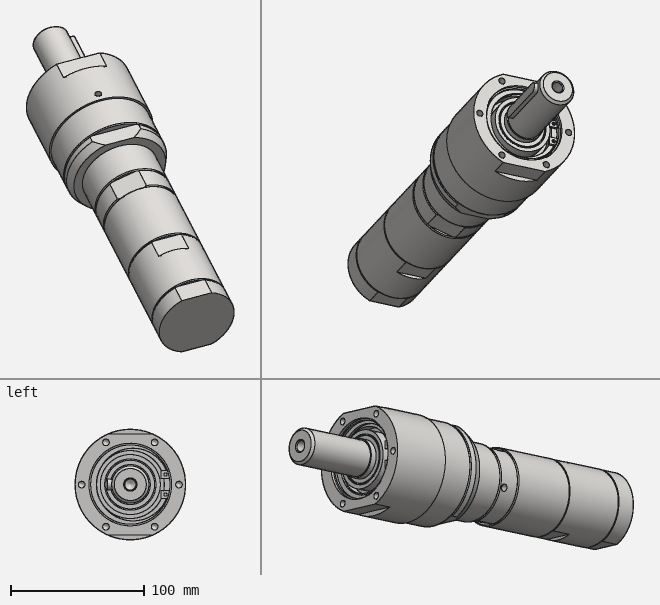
import cadquery as cq
import math

OVERALL_LENGTH = 317.0
COLLAR_START = 59.5
FLANGE_START = 61.5
FLANGE_FLAT_END = 76.5
FLANGE_END = 111.0
LARGE_JOINT_START = 137.8
LARGE_JOINT_END = 139.4
CONE_START = 144.3
NUT_END = 151.2
FRONT_JOINT_START = 178.4
FRONT_JOINT_END = 180.2
REAR_JOINT_START = 196.6
REAR_JOINT_END = 198.4
MIDDLE_SHOULDER = 251.2
MIDDLE_FLAT_END = 267.4
REAR_SHOULDER = 302.0

SHAFT_DIAMETER = 28.0
SHAFT_CHAMFER = 2.0
COLLAR_DIAMETER = 30.0
FLANGE_DIAMETER = 83.0
LARGE_BODY_DIAMETER = 80.0
CONE_END_DIAMETER = 73.5
SMALL_BODY_DIAMETER = 60.0
JOINT_DEPTH = 0.8

FLANGE_ACROSS_FLATS = 75.5
NUT_ACROSS_FLATS = 70.0
BODY_ACROSS_FLATS = 55.0
FLAT_TILT = 15.0

KEY_START = 5.0
KEY_LENGTH = 50.0
KEY_WIDTH = 8.0
KEY_BOTTOM = 10.0
KEY_TOP = 17.0

BOLT_COUNT = 6
BOLT_CIRCLE_DIAMETER = 73.0
BOLT_HOLE_DIAMETER = 5.0
BOLT_HOLE_DEPTH = 12.0
CENTRE_HOLE_DIAMETER = 8.38
CENTRE_SINK_DIAMETER = 10.0
CENTRE_HOLE_DEPTH = 22.0
DRILL_POINT_ANGLE = 118.0
OIL_HOLE_DIAMETER = 4.92
OIL_HOLE_X = 104.8
OIL_HOLE_DEPTH = 5.0
PORT_DIAMETER = 5.5
PORT_X = 184.0
PORT_DEPTH = 8.0

RIM_DIAMETER = 62.0
RIM_DEPTH = 2.5
BORE_DIAMETER = 59.5
BORE_DEPTH = 6.5
GROOVE_DIAMETER = 51.0
GROOVE_DEPTH = 14.0
HUB_DIAMETER = 45.0
HUB_SETBACK = 3.0
SEAL_OUTER_DIAMETER = 38.5
SEAL_INNER_DIAMETER = 36.5
SEAL_DEPTH = 4.0

CLIP_THICKNESS = 2.0
CLIP_INNER_DIAMETER = 54.5
CLIP_OFFSET = 2.0
CLIP_GAP = 9.0
LUG_REACH = 23.0
LUG_WIDTH = 6.0
LUG_HOLE_DIAMETER = 2.5


def turned_body():
    """Revolve the stepped half profile about the X axis."""
    shaft_radius = SHAFT_DIAMETER / 2
    collar_radius = COLLAR_DIAMETER / 2
    flange_radius = FLANGE_DIAMETER / 2
    large_radius = LARGE_BODY_DIAMETER / 2
    small_radius = SMALL_BODY_DIAMETER / 2
    profile = [
        (0, 0),
        (0, shaft_radius - SHAFT_CHAMFER),
        (SHAFT_CHAMFER, shaft_radius),
        (COLLAR_START, shaft_radius),
        (COLLAR_START, collar_radius),
        (FLANGE_START, collar_radius),
        (FLANGE_START, flange_radius),
        (FLANGE_END, flange_radius),
        (FLANGE_END, large_radius),
        *joint_groove(LARGE_JOINT_START, LARGE_JOINT_END, large_radius),
        (CONE_START, large_radius),
        (NUT_END, CONE_END_DIAMETER / 2),
        (NUT_END, small_radius),
        *joint_groove(FRONT_JOINT_START, FRONT_JOINT_END, small_radius),
        *joint_groove(REAR_JOINT_START, REAR_JOINT_END, small_radius),
        *shoulder_chamfer(MIDDLE_SHOULDER, small_radius),
        *shoulder_chamfer(REAR_SHOULDER, small_radius),
        (OVERALL_LENGTH, small_radius),
        (OVERALL_LENGTH, 0),
    ]
    return cq.Workplane("XY").polyline(profile).close().revolve(360, (0, 0, 0), (1, 0, 0))


def joint_groove(start, end, radius):
    """Return the points of a V groove where two chamfered edges meet."""
    return [(start, radius), ((start + end) / 2, radius - JOINT_DEPTH), (end, radius)]


def shoulder_chamfer(x, radius):
    """Return the points of a chamfered edge that meets a square edge at x."""
    return [(x - JOINT_DEPTH, radius), (x, radius - JOINT_DEPTH), (x, radius)]


def cut_flats(body, start, end, across_flats, tilt=0.0):
    """Cut two opposite flats, square to Z before tilting about X."""
    length = end - start
    for side in (1, -1):
        block = (
            cq.Workplane("XY")
            .box(length, FLANGE_DIAMETER, FLANGE_DIAMETER)
            .translate(((start + end) / 2, 0, side * (across_flats + FLANGE_DIAMETER) / 2))
            .rotate((0, 0, 0), (1, 0, 0), tilt)
        )
        body = body.cut(block)
    return body


def shaft_key():
    """Round-ended key standing out of the shaft toward +Y."""
    return (
        cq.Workplane("XZ", origin=(0, KEY_BOTTOM, 0))
        .center(KEY_START + KEY_LENGTH / 2, 0)
        .slot2D(KEY_LENGTH, KEY_WIDTH)
        .extrude(KEY_BOTTOM - KEY_TOP)
    )


def disc(x, length, diameter):
    """Cylinder on the X axis that starts at x."""
    return cq.Workplane("YZ", origin=(x, 0, 0)).circle(diameter / 2).extrude(length)


def tube(x, length, outer_diameter, inner_diameter):
    """Hollow cylinder on the X axis that starts at x."""
    return disc(x, length, outer_diameter).cut(disc(x, length, inner_diameter))


def face_recess():
    """Space in the flange face around the collar, the hub and the retaining ring."""
    space = tube(FLANGE_START, RIM_DEPTH, RIM_DIAMETER, COLLAR_DIAMETER)
    space = space.union(tube(FLANGE_START, BORE_DEPTH, BORE_DIAMETER, COLLAR_DIAMETER))
    space = space.cut(retaining_ring())
    lower_length = GROOVE_DEPTH - BORE_DEPTH
    groove_start = FLANGE_START + BORE_DEPTH
    space = space.union(tube(groove_start, lower_length, GROOVE_DIAMETER, HUB_DIAMETER))
    space = space.cut(disc(FLANGE_START + HUB_SETBACK, GROOVE_DEPTH, HUB_DIAMETER))
    return space.union(tube(FLANGE_START, SEAL_DEPTH, SEAL_OUTER_DIAMETER, SEAL_INNER_DIAMETER))


def retaining_ring():
    """Open ring, thinnest beside its two drilled lugs on the -Y side."""
    start = FLANGE_START + BORE_DEPTH - CLIP_THICKNESS
    ring = disc(start, CLIP_THICKNESS, BORE_DIAMETER)
    ring = ring.cut(disc(start, CLIP_THICKNESS, CLIP_INNER_DIAMETER).translate((0, -CLIP_OFFSET, 0)))
    plane = cq.Workplane("YZ", origin=(start, 0, 0))
    lug_length = BORE_DIAMETER / 2 - LUG_REACH
    lug_y = -LUG_REACH - lug_length / 2
    lug_z = (CLIP_GAP + LUG_WIDTH) / 2
    lugs = plane.pushPoints([(lug_y, lug_z), (lug_y, -lug_z)]).rect(lug_length, LUG_WIDTH)
    ring = ring.union(lugs.extrude(CLIP_THICKNESS))
    gap = plane.center(lug_y, 0).rect(lug_length, CLIP_GAP).extrude(CLIP_THICKNESS)
    holes = plane.pushPoints([(lug_y, lug_z), (lug_y, -lug_z)]).circle(LUG_HOLE_DIAMETER / 2)
    return ring.cut(gap).cut(holes.extrude(CLIP_THICKNESS))


def drilled_hole(diameter, depth):
    """Drill shape along +X from the origin, with a conical point."""
    radius = diameter / 2
    point = radius / math.tan(math.radians(DRILL_POINT_ANGLE / 2))
    outline = [(0, 0), (0, radius), (depth, radius), (depth + point, 0)]
    return cq.Workplane("XY").polyline(outline).close().revolve(360, (0, 0, 0), (1, 0, 0))


def bolt_holes():
    """Ring of blind holes in the flange face, the first on the +Y side."""
    hole = drilled_hole(BOLT_HOLE_DIAMETER, BOLT_HOLE_DEPTH)
    first = hole.translate((FLANGE_START, BOLT_CIRCLE_DIAMETER / 2, 0))
    holes = first
    for index in range(1, BOLT_COUNT):
        holes = holes.union(first.rotate((0, 0, 0), (1, 0, 0), index * 360 / BOLT_COUNT))
    return holes


def centre_hole():
    """Countersunk blind hole in the shaft end."""
    sink_depth = (CENTRE_SINK_DIAMETER - CENTRE_HOLE_DIAMETER) / 2
    sink = cq.Workplane(
        cq.Solid.makeCone(
            CENTRE_SINK_DIAMETER / 2, CENTRE_HOLE_DIAMETER / 2, sink_depth,
            pnt=cq.Vector(0, 0, 0), dir=cq.Vector(1, 0, 0),
        )
    )
    return drilled_hole(CENTRE_HOLE_DIAMETER, CENTRE_HOLE_DEPTH).union(sink)


def oil_hole():
    """Radial hole down from the top of the flange."""
    top = FLANGE_DIAMETER / 2
    plane = cq.Workplane("XY", origin=(OIL_HOLE_X, 0, top - OIL_HOLE_DEPTH))
    return plane.circle(OIL_HOLE_DIAMETER / 2).extrude(OIL_HOLE_DEPTH)


def port():
    """Radial hole on the -Y side, tilted to match the tilted flats."""
    outside = SMALL_BODY_DIAMETER / 2
    plane = cq.Workplane("XZ", origin=(PORT_X, PORT_DEPTH - outside, 0))
    return plane.circle(PORT_DIAMETER / 2).extrude(PORT_DEPTH).rotate((0, 0, 0), (1, 0, 0), FLAT_TILT)


body = turned_body()
body = cut_flats(body, FLANGE_START, FLANGE_FLAT_END, FLANGE_ACROSS_FLATS)
body = cut_flats(body, (LARGE_JOINT_START + LARGE_JOINT_END) / 2, NUT_END, NUT_ACROSS_FLATS)
body = cut_flats(
    body,
    (FRONT_JOINT_START + FRONT_JOINT_END) / 2,
    (REAR_JOINT_START + REAR_JOINT_END) / 2,
    BODY_ACROSS_FLATS,
    FLAT_TILT,
)
body = cut_flats(body, MIDDLE_SHOULDER, MIDDLE_FLAT_END, BODY_ACROSS_FLATS)
body = cut_flats(body, REAR_SHOULDER, OVERALL_LENGTH, BODY_ACROSS_FLATS)
body = body.cut(face_recess())
for hole in (bolt_holes(), centre_hole(), oil_hole(), port()):
    body = body.cut(hole)
result = body.union(shaft_key())